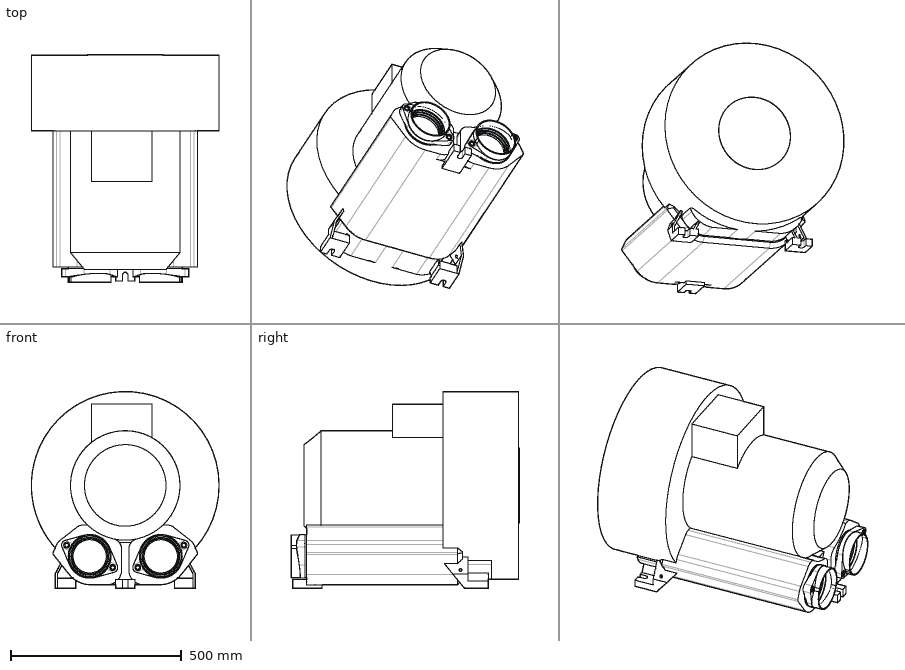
import cadquery as cq
import math


blower_radius = 275.0
blower_back = 223.5
cover_radius = 110.0
cover_height = 2.0

motor_radius = 160.0
motor_nose_radius = 119.5
motor_shoulder_y = -356.5
motor_nose_y = -406.5

box_left = -99.5
box_right = 78.0
box_top = 238.0
box_front = -148.0

housing_front = -399.0
housing_back = 57.0
housing_top = -116.0
housing_bottom = -291.0
housing_corners = [
    (133.5, housing_top, 27.0),
    (197.5, -166.0, 33.5),
    (140.0, housing_bottom, 80.0),
]
tip_x = 213.0
tip_z = -199.5
tip_rounding = 6.0
back_chamfer = 14.0

rear_block_end = 143.0
rear_block_top = -220.0
rear_block_top_half = 172.0
rear_block_shoulder = (168.0, -231.0)
rear_block_round = (143.5, -259.0)
rear_block_foot = (105.0, -273.5)

gap_half_width = 11.0
channel_depth = 25.5
gap_top_radius = 30.0
gap_bottom_radius = 43.5
web_top = -167.5

port_x = 104.0
port_z = -207.5
port_front = -444.0
pipe_radius = 63.0
spacer_height = 5.0
flange_radius = 64.0
flange_edge_height = 13.5
ridge_height = 24.0
ridge_half_width = 11.5
lug_radius = 15.0
lug_offset_x = 67.5
lug_offset_z = 33.0
bolt_clearance_radius = 13.5
bolt_hole_radius = 5.5
bolt_recess_radius = 9.0
bolt_recess_depth = 3.5
bore_steps = [(59.5, 33.5), (55.5, 40.0), (52.0, 47.0), (49.0, 53.5)]

overall_height = 576.0
ground = blower_radius - overall_height
slot_width = 15.5
front_foot_half_width = 28.0
front_foot_top = -275.0
front_foot_back = -353.0
front_foot_end = -440.0
front_slot_end = -414.5

rear_foot_outer = 205.5
rear_foot_inner = 144.0
rear_foot_back = 133.5
pad_top = -279.5
plate_thickness = 7.5
plate_lean = math.radians(28)
plate_bend = -259.0
plate_top = -202.0
plate_back = 74.0
plate_toe_y = 63.0
plate_rake = math.radians(39)
block_top = -271.0
tongue_top = -249.5
plate_hole_y = 51.5
plate_hole_z = -247.5
plate_hole_radius = 4.0
rear_slot_x = 177.5
rear_slot_depth = 27.0
tongue_base = 159.0


def along_y(y):
    """Workplane at the given Y with local axes X and Z, extruding towards -Y."""
    return cq.Workplane("XZ", origin=(0, y, 0))


def cylinder(x, z, radius, y_back, y_front):
    """Cylinder along Y, centred on (x, z)."""
    return along_y(y_back).center(x, z).circle(radius).extrude(y_back - y_front)


def block(x0, x1, y0, y1, z0, z1):
    """Box between the given limits."""
    base = cq.Workplane("XY", origin=(0, 0, z0)).center((x0 + x1) / 2, (y0 + y1) / 2)
    return base.rect(abs(x1 - x0), abs(y1 - y0)).extrude(z1 - z0)


def prism(points, y_back, y_front):
    """Prism along Y with an (X, Z) polygon as its section."""
    return along_y(y_back).polyline(points).close().extrude(y_back - y_front)


def both_sides(body):
    """The body together with its mirror image across the YZ plane."""
    return body.union(body.mirror("YZ"))


def blower():
    casing = cylinder(0, 0, blower_radius, blower_back - cover_height, 0)
    return casing.union(cylinder(0, 0, cover_radius, blower_back, 0))


def motor():
    profile = [
        (0, 0),
        (motor_radius, 0),
        (motor_radius, motor_shoulder_y),
        (motor_nose_radius, motor_nose_y),
        (0, motor_nose_y),
    ]
    return cq.Workplane("XY").polyline(profile).close().revolve(360, (0, 0, 0), (0, 1, 0))


def terminal_box():
    return block(box_left, box_right, box_front, 0, 0, box_top)


def round_housing_corner(body, x, z, radius):
    """Round the lengthwise edges at (x, z) and (-x, z)."""
    mid_y = (housing_back + housing_front) / 2
    for side in (1, -1):
        body = body.edges("|Y").edges(cq.NearestToPointSelector((side * x, mid_y, z))).fillet(radius)
    return body


def housing_blank():
    right = [(x, z) for x, z, _ in housing_corners]
    right.insert(-1, (tip_x, tip_z))
    left = [(-x, z) for x, z in reversed(right)]
    body = prism(right + left, housing_back, housing_front)
    for x, z, radius in housing_corners:
        body = round_housing_corner(body, x, z, radius)
    body = body.faces(">Y").chamfer(back_chamfer)
    return round_housing_corner(body, tip_x, tip_z, tip_rounding)


def gap():
    """Cutter for the gap, rounded into the saddle under the motor and into the housing bottom."""
    w = gap_half_width
    top_x = w + gap_top_radius
    top_z = -math.sqrt((motor_radius + gap_top_radius) ** 2 - top_x**2)
    to_saddle = motor_radius / (motor_radius + gap_top_radius)
    saddle_x = top_x * to_saddle
    saddle_z = top_z * to_saddle
    bottom_x = w + gap_bottom_radius
    bottom_z = housing_bottom + gap_bottom_radius
    outline = (
        along_y(0)
        .moveTo(w, bottom_z)
        .lineTo(w, top_z)
        .radiusArc((saddle_x, saddle_z), gap_top_radius)
        .lineTo(-saddle_x, saddle_z)
        .radiusArc((-w, top_z), gap_top_radius)
        .lineTo(-w, bottom_z)
        .radiusArc((-bottom_x, housing_bottom), gap_bottom_radius)
        .lineTo(bottom_x, housing_bottom)
        .radiusArc((w, bottom_z), gap_bottom_radius)
        .close()
    )
    return outline.extrude(-housing_front)


def housing():
    saddle = cylinder(0, 0, motor_radius, 0, housing_front)
    web_half = gap_half_width + gap_bottom_radius
    web = block(-web_half, web_half, housing_front + channel_depth, 0, housing_bottom, web_top)
    return housing_blank().cut(saddle).cut(gap()).union(web)


def rear_block():
    shoulder_x, shoulder_z = rear_block_shoulder
    round_x, round_z = rear_block_round
    foot_x, foot_z = rear_block_foot
    outline = (
        along_y(rear_block_end)
        .moveTo(-rear_block_top_half, rear_block_top)
        .lineTo(rear_block_top_half, rear_block_top)
        .lineTo(shoulder_x, shoulder_z)
        .threePointArc((round_x, round_z), (foot_x, foot_z))
        .lineTo(-foot_x, foot_z)
        .threePointArc((-round_x, round_z), (-shoulder_x, shoulder_z))
        .close()
    )
    return outline.extrude(rear_block_end)


def flange_outline(seat):
    """Round flange with two opposite lugs joined to it by tangent lines, lugs on the local X axis."""
    reach = math.hypot(lug_offset_x, lug_offset_z)
    tangent = math.acos((flange_radius - lug_radius) / reach)
    cos_t = math.cos(tangent)
    sin_t = math.sin(tangent)
    near = (flange_radius * cos_t, flange_radius * sin_t)
    far = (reach + lug_radius * cos_t, lug_radius * sin_t)
    return (
        seat.moveTo(near[0], near[1])
        .lineTo(far[0], far[1])
        .threePointArc((reach + lug_radius, 0), (far[0], -far[1]))
        .lineTo(near[0], -near[1])
        .threePointArc((0, -flange_radius), (-near[0], -near[1]))
        .lineTo(-far[0], -far[1])
        .threePointArc((-reach - lug_radius, 0), (-far[0], far[1]))
        .lineTo(-near[0], near[1])
        .threePointArc((0, flange_radius), near)
        .close()
    )


def flange(seat_y):
    """Right-hand flange: a ridge joins its two lugs and the faces fall away on both sides of it."""
    lug_axis = cq.Vector(lug_offset_x, 0, lug_offset_z)
    centre = (port_x, seat_y, port_z)
    plate = flange_outline(cq.Workplane(cq.Plane(centre, lug_axis, (0, -1, 0)))).extrude(ridge_height)

    across = cq.Vector(0, -1, 0).cross(lug_axis)
    roof = (
        cq.Workplane(cq.Plane(centre, across, lug_axis))
        .polyline([
            (-flange_radius, 0),
            (-flange_radius, flange_edge_height),
            (-ridge_half_width, ridge_height),
            (ridge_half_width, ridge_height),
            (flange_radius, flange_edge_height),
            (flange_radius, 0),
        ])
        .close()
        .extrude(2 * flange_radius, both=True)
    )
    return plate.intersect(roof)


def port():
    seat_y = housing_front - spacer_height
    lug_face = seat_y - ridge_height
    body = flange(seat_y).union(cylinder(port_x, port_z, pipe_radius, housing_front, port_front))
    for side in (1, -1):
        x = port_x + side * lug_offset_x
        z = port_z + side * lug_offset_z
        clearance = cylinder(x, z, bolt_clearance_radius, lug_face, port_front)
        recess = cylinder(x, z, bolt_recess_radius, lug_face + bolt_recess_depth, lug_face)
        hole = cylinder(x, z, bolt_hole_radius, seat_y, lug_face)
        body = body.cut(clearance).cut(recess).cut(hole)
    return body


def port_bore():
    bore = cylinder(port_x, port_z, bore_steps[0][0], port_front + bore_steps[0][1], port_front)
    for radius, depth in bore_steps[1:]:
        bore = bore.union(cylinder(port_x, port_z, radius, port_front + depth, port_front))
    return bore


def slot(x, y_end, y_open):
    """Upright slot cutter through a foot, with a round end at y_end and open at y_open."""
    r = slot_width / 2
    y_centre = y_end + math.copysign(r, y_open - y_end)
    straight = block(x - r, x + r, y_centre, y_open, ground, front_foot_top)
    height = front_foot_top - ground
    round_end = cq.Workplane("XY", origin=(x, y_centre, ground)).circle(r).extrude(height)
    return straight.union(round_end)


def front_foot():
    foot = block(-front_foot_half_width, front_foot_half_width, front_foot_end, front_foot_back,
                 ground, front_foot_top)
    return foot.cut(slot(0, front_slot_end, front_foot_end))


def rear_foot():
    """Right-hand rear foot: slotted pad, bent outer plate with a raked edge, and inner tongue."""
    lean = math.tan(plate_lean)
    top_x = rear_foot_outer - (plate_top - plate_bend) * lean
    plate = prism(
        [
            (rear_foot_outer, ground),
            (rear_foot_outer, plate_bend),
            (top_x, plate_top),
            (top_x - plate_thickness, plate_top),
            (rear_foot_outer - plate_thickness, plate_bend),
            (rear_foot_outer - plate_thickness, ground),
        ],
        plate_back,
        -plate_back,
    )
    front_block = block(rear_foot_inner, rear_foot_outer, plate_toe_y, plate_back, ground, block_top)
    rake_run = (plate_top - ground) * math.tan(plate_rake)
    raked_side = [
        (plate_back, ground),
        (plate_toe_y, ground),
        (plate_toe_y - rake_run, plate_top),
        (plate_back, plate_top),
    ]
    rake = cq.Workplane("YZ").polyline(raked_side).close().extrude(rear_foot_outer)
    hole = (
        cq.Workplane("YZ", origin=(rear_foot_inner, 0, 0))
        .center(plate_hole_y, plate_hole_z)
        .circle(plate_hole_radius)
        .extrude(rear_foot_outer - rear_foot_inner)
    )

    pad = block(rear_foot_inner, rear_foot_outer, plate_back, rear_foot_back, ground, pad_top)
    pad = pad.cut(slot(rear_slot_x, rear_foot_back - rear_slot_depth, rear_foot_back))
    tongue_shift = (tongue_top - pad_top) * lean
    tongue = prism(
        [
            (tongue_base - plate_thickness, pad_top),
            (tongue_base, pad_top),
            (tongue_base - tongue_shift, tongue_top),
            (tongue_base - plate_thickness - tongue_shift, tongue_top),
        ],
        rear_foot_back,
        plate_back,
    )
    return plate.intersect(rake).cut(hole).union(front_block).union(pad).union(tongue)


result = (
    housing()
    .union(rear_block())
    .union(blower())
    .union(motor())
    .union(terminal_box())
    .union(both_sides(port()))
    .cut(both_sides(port_bore()))
    .union(front_foot())
    .union(both_sides(rear_foot()))
)